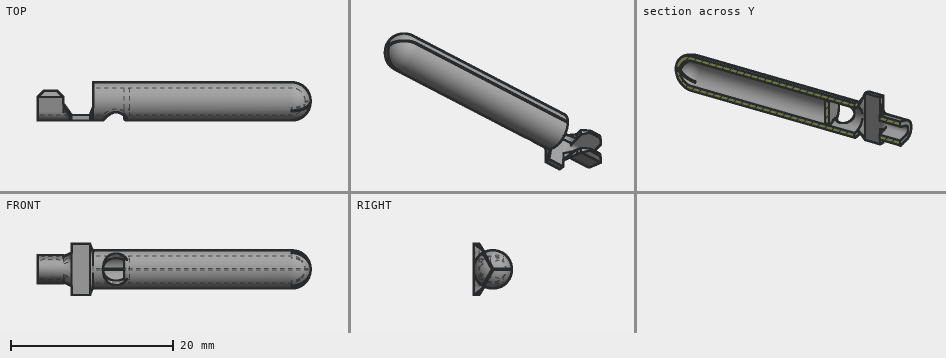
import cadquery as cq
import math

LENGTH = 33.66
SHEET = 0.7

TUBE_RADIUS = 2.37
BORE_RADIUS = TUBE_RADIUS - SHEET
TUBE_START = 6.83
DOME_START = LENGTH - TUBE_RADIUS
SEAM_GAP = 0.15
DOME_SLIT_COUNT = 3

HOLE_X = 9.66
HOLE_RADIUS = 1.62
HOLE_CURVE_POINTS = 60
HOLE_CUTTER_TOP = BORE_RADIUS / 2
HOLE_CUTTER_BOTTOM = 1.1 * TUBE_RADIUS
TAB_X = 10.64
TAB_WIDTH = 2.54
TAB_BEND_RADIUS = 0.36
TAB_CLEARANCE = 0.1

BAR_START = 4.18
BAR_END = 6.44
BAR_HALF_WIDTH = 6.35 / 2
TUBE_FLARE_ANGLE = 66

CRIMP_LENGTH = 3.16
CRIMP_RADIUS = 1.36
CRIMP_LEG_ANGLE = 13.5
CRIMP_TOP = 3.69
CRIMP_BEVEL_Y = 2.92
CRIMP_BEVEL_ANGLE = 15
CRIMP_END_CHAMFER = CRIMP_TOP - CRIMP_BEVEL_Y

NECK_LEG_TOP = 2.1
NECK_BAR_HALF_WIDTH = 2.06
NECK_BAR_FLAT_HALF_WIDTH = 1.07


def section_plane(x):
    """Plane across the part at x: local x is Y, local y is Z."""
    return cq.Workplane("YZ", origin=(x, 0, 0))


def crimp_arc_end(radius):
    """End of the round base of the crimp, where a straight leg takes over."""
    angle = math.radians(CRIMP_LEG_ANGLE)
    return CRIMP_RADIUS - radius * math.sin(angle), radius * math.cos(angle)


def crimp_leg_z(radius, y):
    """Half width of the crimp at height y on the leg tangent to a base of this radius."""
    start_y, start_z = crimp_arc_end(radius)
    return start_z + (y - start_y) * math.tan(math.radians(CRIMP_LEG_ANGLE))


def mirrored(point):
    return point[0], -point[1]


CRIMP_INNER_RADIUS = CRIMP_RADIUS - SHEET
OUTER_ARC_END = crimp_arc_end(CRIMP_RADIUS)
INNER_ARC_END = crimp_arc_end(CRIMP_INNER_RADIUS)


def make_crimp():
    bevel_z = crimp_leg_z(CRIMP_RADIUS, CRIMP_BEVEL_Y)
    bevel_inset = CRIMP_END_CHAMFER * math.tan(math.radians(CRIMP_BEVEL_ANGLE))
    bevel_start = (CRIMP_BEVEL_Y, bevel_z)
    outer_tip = (CRIMP_TOP, bevel_z - bevel_inset)
    inner_tip = (CRIMP_TOP, crimp_leg_z(CRIMP_INNER_RADIUS, CRIMP_TOP))
    crimp = (
        section_plane(0)
        .moveTo(*OUTER_ARC_END)
        .threePointArc((0, 0), mirrored(OUTER_ARC_END))
        .lineTo(*mirrored(bevel_start))
        .lineTo(*mirrored(outer_tip))
        .lineTo(*mirrored(inner_tip))
        .lineTo(*mirrored(INNER_ARC_END))
        .threePointArc((SHEET, 0), INNER_ARC_END)
        .lineTo(*inner_tip)
        .lineTo(*outer_tip)
        .lineTo(*bevel_start)
        .close()
        .extrude(CRIMP_LENGTH)
    )
    side_outline = (
        cq.Workplane("XY")
        .moveTo(0, 0)
        .lineTo(CRIMP_LENGTH, 0)
        .lineTo(CRIMP_LENGTH, CRIMP_BEVEL_Y)
        .lineTo(CRIMP_LENGTH - CRIMP_END_CHAMFER, CRIMP_TOP)
        .lineTo(CRIMP_END_CHAMFER, CRIMP_TOP)
        .lineTo(0, CRIMP_BEVEL_Y)
        .close()
        .extrude(2 * bevel_z, both=True)
    )
    return crimp.intersect(side_outline)


def make_neck():
    """Strip that opens from the U of the crimp to the flat of the bar."""
    outer_tip = (NECK_LEG_TOP, crimp_leg_z(CRIMP_RADIUS, NECK_LEG_TOP))
    inner_tip = (NECK_LEG_TOP, crimp_leg_z(CRIMP_INNER_RADIUS, NECK_LEG_TOP))
    flat_outer = (0, NECK_BAR_FLAT_HALF_WIDTH)
    flat_inner = (SHEET, NECK_BAR_FLAT_HALF_WIDTH)
    return (
        section_plane(CRIMP_LENGTH)
        .moveTo(*outer_tip)
        .lineTo(*OUTER_ARC_END)
        .threePointArc((0, 0), mirrored(OUTER_ARC_END))
        .lineTo(*mirrored(outer_tip))
        .lineTo(*mirrored(inner_tip))
        .lineTo(*mirrored(INNER_ARC_END))
        .threePointArc((SHEET, 0), INNER_ARC_END)
        .lineTo(*inner_tip)
        .close()
        .workplane(offset=BAR_START - CRIMP_LENGTH)
        .moveTo(0, NECK_BAR_HALF_WIDTH)
        .lineTo(*flat_outer)
        .lineTo(*mirrored(flat_outer))
        .lineTo(0, -NECK_BAR_HALF_WIDTH)
        .lineTo(SHEET, -NECK_BAR_HALF_WIDTH)
        .lineTo(*mirrored(flat_inner))
        .lineTo(*flat_inner)
        .lineTo(SHEET, NECK_BAR_HALF_WIDTH)
        .close()
        .loft(ruled=True, combine=True)
    )


def make_bar():
    bar = cq.Workplane("XY").box(
        BAR_END - BAR_START, SHEET, 2 * BAR_HALF_WIDTH, centered=(False, False, True)
    )
    return bar.translate((BAR_START, 0, 0))


def tube_point(radius, degrees_from_bottom):
    """Point of the tube section at this radius and angle from its lowest line."""
    angle = math.radians(degrees_from_bottom)
    return TUBE_RADIUS - radius * math.cos(angle), radius * math.sin(angle)


def make_flare():
    """Strip that curls from the flat of the bar into the lower part of the tube."""
    outer_middle = tube_point(TUBE_RADIUS, TUBE_FLARE_ANGLE / 2)
    outer_end = tube_point(TUBE_RADIUS, TUBE_FLARE_ANGLE)
    inner_middle = tube_point(BORE_RADIUS, TUBE_FLARE_ANGLE / 2)
    inner_end = tube_point(BORE_RADIUS, TUBE_FLARE_ANGLE)
    half = (
        section_plane(BAR_END)
        .lineTo(0, BAR_HALF_WIDTH)
        .lineTo(SHEET, BAR_HALF_WIDTH)
        .lineTo(SHEET, 0)
        .close()
        .workplane(offset=TUBE_START - BAR_END)
        .moveTo(0, 0)
        .threePointArc(outer_middle, outer_end)
        .lineTo(*inner_end)
        .threePointArc(inner_middle, (SHEET, 0))
        .close()
        .loft(ruled=True, combine=True)
    )
    return half.union(half.mirror("XY"))


def round_ended_rod(radius):
    """Rod on the tube axis that ends in a hemisphere centred at the start of the dome."""
    rod = section_plane(TUBE_START).center(TUBE_RADIUS, 0).circle(radius).extrude(DOME_START - TUBE_START)
    ball = cq.Workplane("XY").sphere(radius).translate((DOME_START, TUBE_RADIUS, 0))
    return rod.union(ball)


def radial_slit(start, end, angle):
    """Slot from the tube axis outwards; angle 0 points to +Y."""
    slit = cq.Workplane("XY").box(end - start, 2 * TUBE_RADIUS, SEAM_GAP, centered=(False, False, True))
    slit = slit.rotate((0, 0, 0), (1, 0, 0), angle)
    return slit.translate((start, TUBE_RADIUS, 0))


def make_hole_cutter():
    """Cutter for a round hole in rolled sheet: radial wall, ending where the tab bend begins."""

    def outline(depth):
        """Hole outline on the plane at this depth below the tube axis."""
        return cq.Workplane("XZ", origin=(HOLE_X, TUBE_RADIUS - depth, 0)).parametricCurve(
            lambda turn: (
                HOLE_RADIUS * math.cos(2 * math.pi * turn),
                depth * math.tan(HOLE_RADIUS * math.sin(2 * math.pi * turn) / BORE_RADIUS),
            ),
            N=HOLE_CURVE_POINTS,
        ).val()

    outlines = [outline(HOLE_CUTTER_TOP), outline(HOLE_CUTTER_BOTTOM)]
    round_hole = cq.Workplane(cq.Solid.makeLoft(outlines, True))
    cutter_width = 4 * TUBE_RADIUS
    beyond_bend = section_plane(TAB_X + TAB_BEND_RADIUS).rect(cutter_width, cutter_width).extrude(HOLE_RADIUS)
    return round_hole.cut(beyond_bend)


def make_tab():
    """Stop with a small clearance in the bore, bent in from the tube wall with a rounded outer edge."""
    disc = section_plane(TAB_X).center(TUBE_RADIUS, 0).circle(TUBE_RADIUS).extrude(SHEET)
    disc = disc.faces("<X").edges().fillet(TAB_BEND_RADIUS)
    bore_disc = section_plane(TAB_X).center(TUBE_RADIUS, 0).circle(BORE_RADIUS - TAB_CLEARANCE).extrude(SHEET)
    foot = cq.Workplane("XY").box(SHEET, TUBE_RADIUS, TAB_WIDTH, centered=(False, False, True))
    return disc.intersect(foot.translate((TAB_X, 0, 0))).union(bore_disc)


def make_tube():
    tube = round_ended_rod(TUBE_RADIUS).cut(round_ended_rod(BORE_RADIUS))
    tube = tube.cut(make_hole_cutter())
    tube = tube.cut(radial_slit(TUBE_START, DOME_START, 0))
    for index in range(DOME_SLIT_COUNT):
        tube = tube.cut(radial_slit(DOME_START, LENGTH, index * 360 / DOME_SLIT_COUNT))
    return tube.union(make_tab())


result = make_crimp().union(make_neck()).union(make_bar()).union(make_flare()).union(make_tube())